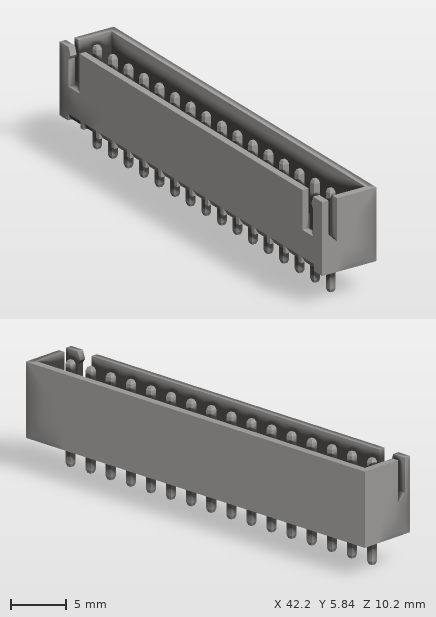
import cadquery as cq

pin_count = 16
pitch = 2.5
body_length = 42.17
body_depth = 5.84
body_height = 7.24
total_height = 10.21

end_wall = 0.7
back_wall = 0.74
front_wall = 0.67
cavity_floor = 1.27

pin_size = 0.64
pin_tip_size = 0.42
pin_tip_length = 0.32
pin_setback = 2.49
pin_top_gap = 0.15

slot_floor = 3.36
slot_outer_edge = 1.46
slot_width = 1.72
snap_height = 0.28
snap_crest_drop = 0.8
snap_base_drop = 1.2

slit_width = 0.92
slit_low = 3.0

notch_width = 2.03
notch_height = 0.69
notch_depth = 0.46

half_length = body_length / 2
front_y = -body_depth / 2
pin_y = front_y + pin_setback
pin_bottom = body_height - total_height
pin_top = body_height - pin_top_gap
pin_positions = [(i - (pin_count - 1) / 2) * pitch for i in range(pin_count)]


def block(x_min, x_max, y_min, y_max, z_min, z_max):
    """Axis-aligned box given by its limits."""
    size = (x_max - x_min, y_max - y_min, z_max - z_min)
    return cq.Workplane("XY").box(*size, centered=False).translate((x_min, y_min, z_min))


def make_shell():
    """Rectangular housing with an open-topped cavity."""
    shell = block(-half_length, half_length, front_y, -front_y, 0, body_height)
    cavity = block(
        -half_length + end_wall,
        half_length - end_wall,
        front_y + front_wall,
        -front_y - back_wall,
        cavity_floor,
        body_height,
    )
    return shell.cut(cavity)


def make_latch_slot():
    """Left latch slot through the front wall, with a snap bump on its outer side."""
    outer = -half_length + slot_outer_edge
    inner = outer + slot_width
    outline = [
        (outer, slot_floor),
        (inner, slot_floor),
        (inner, body_height),
        (outer, body_height),
        (outer + snap_height, body_height - snap_crest_drop),
        (outer, body_height - snap_base_drop),
    ]
    slot = cq.Workplane("XZ", origin=(0, front_y, 0)).polyline(outline).close()
    return slot.extrude(-front_wall)


def make_slit():
    """Slit through both end walls; its floor rises at 45 degrees to the front wall."""
    slit_front = front_y + front_wall
    slit_back = slit_front + slit_width
    outline = [
        (slit_back, slit_low),
        (slit_back, body_height),
        (slit_front, body_height),
        (slit_front, slit_low + slit_width),
    ]
    slit = cq.Workplane("YZ").polyline(outline).close()
    return slit.extrude(half_length, both=True)


def make_notch(x):
    """Bevelled notch under the front edge, centred at x."""
    outline = [
        (front_y, 0),
        (front_y + notch_depth, 0),
        (front_y, notch_height),
    ]
    notch = cq.Workplane("YZ", origin=(x, 0, 0)).polyline(outline).close()
    return notch.extrude(notch_width / 2, both=True)


def make_pin_tip(x, z_base, z_end):
    """Tapered end of a pin."""
    return (
        cq.Workplane("XY", origin=(x, pin_y, z_base))
        .rect(pin_size, pin_size)
        .workplane(offset=z_end - z_base)
        .rect(pin_tip_size, pin_tip_size)
        .loft()
    )


def make_pin(x):
    """Contact pin standing through the housing floor at x."""
    shank_bottom = pin_bottom + pin_tip_length
    shank_top = pin_top - pin_tip_length
    shank = (
        cq.Workplane("XY", origin=(x, pin_y, shank_bottom))
        .rect(pin_size, pin_size)
        .extrude(shank_top - shank_bottom)
    )
    upper_tip = make_pin_tip(x, shank_top, pin_top)
    lower_tip = make_pin_tip(x, shank_bottom, pin_bottom)
    return shank.union(upper_tip).union(lower_tip)


latch_slot = make_latch_slot()
result = make_shell().cut(latch_slot).cut(latch_slot.mirror("YZ")).cut(make_slit())
for pin_x in pin_positions:
    result = result.cut(make_notch(pin_x))
for pin_x in pin_positions:
    result = result.union(make_pin(pin_x))